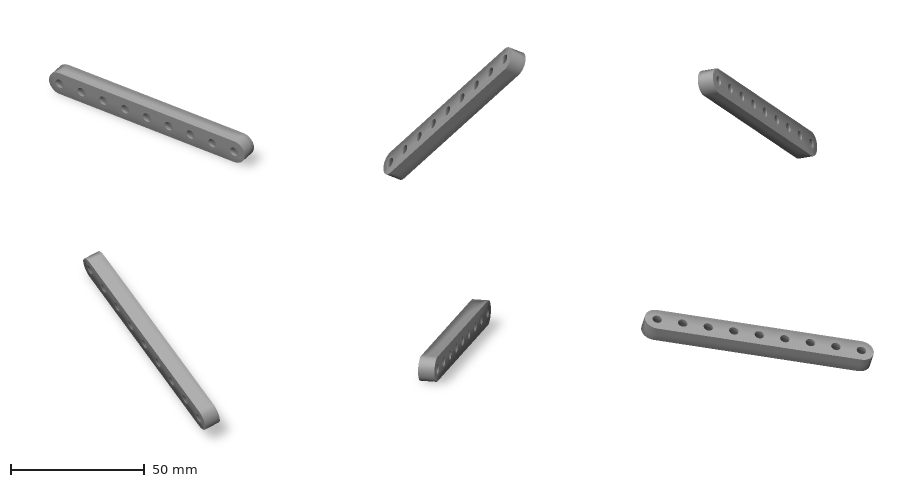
import cadquery as cq

length = 87.8
thickness = 6.3
height = 9.6
hole_count = 9
hole_diameter = 3.6

hole_pitch = (length - height) / (hole_count - 1)

bar = cq.Workplane("XZ").slot2D(length, height).extrude(thickness / 2, both=True)

holes = (
    cq.Workplane("XZ")
    .rarray(hole_pitch, height, hole_count, 1)
    .circle(hole_diameter / 2)
    .extrude(thickness, both=True)
)

result = bar.cut(holes)